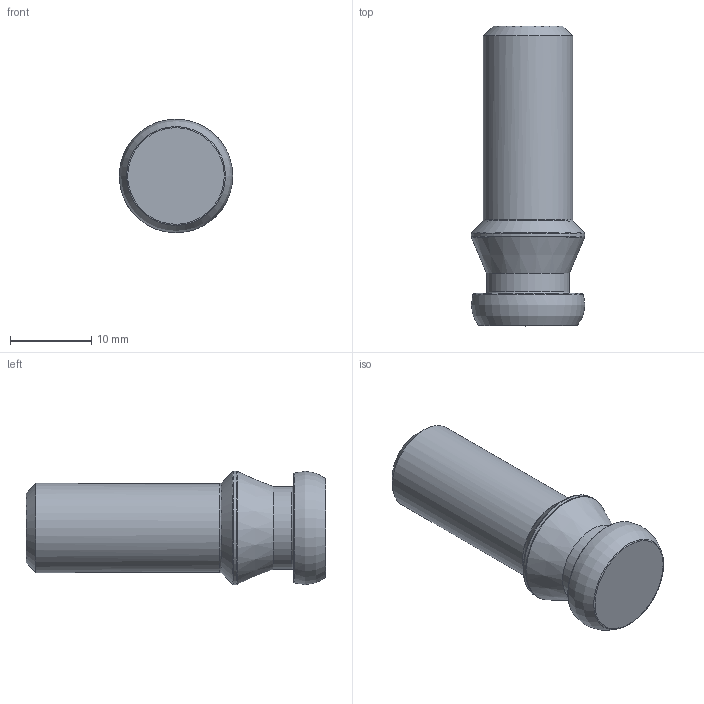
import cadquery as cq
import math

total_length = 37.0

edge_round = 0.2

shank_radius = 11.0 / 2
tip_chamfer = 1.2

collar_radius = 14.0 / 2
collar_land_width = 0.5
shank_start = 13.0

neck_radius = 10.2 / 2
neck_length = 2.5

head_radius = 14.0 / 2
head_length = 4.0
head_bulge_radius = 4.0
head_widest = 2.6

collar_rear = shank_start - (collar_radius - shank_radius)
collar_front = collar_rear - collar_land_width
taper_end = head_length + neck_length


def bulge_radius_at(y):
    """Radius of the head rim at distance y from the flat face."""
    arc_offset = math.sqrt(head_bulge_radius**2 - (y - head_widest) ** 2)
    return head_radius - head_bulge_radius + arc_offset


def turned_body():
    """Sharp-edged body, revolved about Y."""
    half_profile = (
        cq.Workplane("XY")
        .lineTo(bulge_radius_at(0), 0)
        .threePointArc((head_radius, head_widest), (bulge_radius_at(head_length), head_length))
        .lineTo(neck_radius, head_length)
        .lineTo(neck_radius, taper_end)
        .lineTo(collar_radius, collar_front)
        .lineTo(collar_radius, collar_rear)
        .lineTo(shank_radius, shank_start)
        .lineTo(shank_radius, total_length - tip_chamfer)
        .lineTo(shank_radius - tip_chamfer, total_length)
        .lineTo(0, total_length)
        .close()
    )
    return half_profile.revolve(360, (0, 0, 0), (0, 1, 0))


def round_edges(body):
    """Round the circular edges of the head, the collar and their roots."""
    rounded_positions = (0, head_length, collar_front, collar_rear, shank_start)
    position_tolerance = 0.01
    edges = body.edges("%CIRCLE")
    rounded = edges.filter(
        lambda edge: any(abs(edge.Center().y - y) < position_tolerance for y in rounded_positions)
    )
    return rounded.fillet(edge_round)


result = round_edges(turned_body())